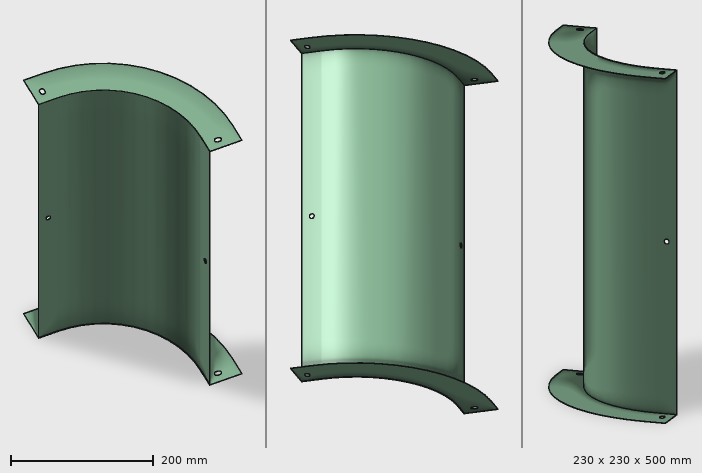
import cadquery as cq
import math

OVERALL_SIZE = 230.0
HEIGHT = 500.0
STRAIGHT_LENGTH = 30.0
FLANGE_WIDTH = 50.0
SHEET_THICKNESS = 0.8
END_OFFSET = 15.0
HOLE_DIAMETER = 7.0
SLOT_LENGTH = 10.0
SLOT_EDGE_OFFSET = 30.0

OUTER_RADIUS = OVERALL_SIZE - STRAIGHT_LENGTH
INNER_RADIUS = OUTER_RADIUS - FLANGE_WIDTH
WALL_RADIUS = INNER_RADIUS + SHEET_THICKNESS
HOLE_POSITION = STRAIGHT_LENGTH - END_OFFSET
SLOT_RADIUS = OUTER_RADIUS - SLOT_EDGE_OFFSET
HOLE_CUT_DEPTH = OVERALL_SIZE


def bent_band(outer_radius, inner_radius, height):
    """Quarter-round band with a tangent straight run at each end, standing on Z = 0."""
    outer_mid = outer_radius * math.sqrt(0.5)
    inner_mid = inner_radius * math.sqrt(0.5)
    return (
        cq.Workplane("XY")
        .moveTo(-outer_radius, -STRAIGHT_LENGTH)
        .lineTo(-outer_radius, 0)
        .threePointArc((-outer_mid, outer_mid), (0, outer_radius))
        .lineTo(STRAIGHT_LENGTH, outer_radius)
        .lineTo(STRAIGHT_LENGTH, inner_radius)
        .lineTo(0, inner_radius)
        .threePointArc((-inner_mid, inner_mid), (-inner_radius, 0))
        .lineTo(-inner_radius, -STRAIGHT_LENGTH)
        .close()
        .extrude(height)
    )


def flange_slot(x, y, angle):
    """Cutter for one slot, running through both flanges."""
    return (
        cq.Workplane("XY")
        .center(x, y)
        .slot2D(SLOT_LENGTH, HOLE_DIAMETER, angle)
        .extrude(HEIGHT)
    )


def wall_hole(plane, across):
    """Cutter for a round hole at mid height, along the normal of the given plane."""
    return (
        cq.Workplane(plane)
        .center(across, HEIGHT / 2)
        .circle(HOLE_DIAMETER / 2)
        .extrude(HOLE_CUT_DEPTH, both=True)
    )


wall = bent_band(WALL_RADIUS, INNER_RADIUS, HEIGHT)
flange = bent_band(OUTER_RADIUS, INNER_RADIUS, SHEET_THICKNESS)
top_flange = flange.translate((0, 0, HEIGHT - SHEET_THICKNESS))
body = wall.union(flange).union(top_flange)

body = body.cut(flange_slot(-SLOT_RADIUS, -HOLE_POSITION, 0))
body = body.cut(flange_slot(HOLE_POSITION, SLOT_RADIUS, 90))

body = body.cut(wall_hole("XZ", HOLE_POSITION))
result = body.cut(wall_hole("YZ", -HOLE_POSITION))